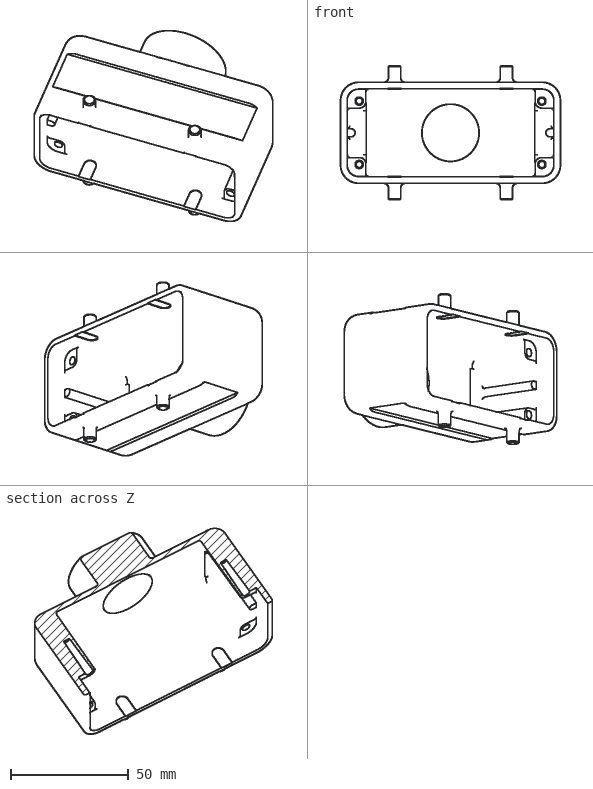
import cadquery as cq
import math

BODY_X = 93.5
BODY_Y = 45.0
BODY_Z = 43.0
CORNER_RADIUS = 7.9
BACK_RADIUS = 5.1
MOUTH_ROUND = 0.9

TOTAL_Y = 61.0
NECK_DIAMETER = 37.4
NECK_ROOT_RADIUS = 0.8
NECK_END_RADIUS = 1.1
BORE_DIAMETER = 24.2

WALL_X = 2.8
WALL_Z = 2.9
CAVITY_X = BODY_X - 2 * WALL_X
CAVITY_Z = BODY_Z - 2 * WALL_Z
CAVITY_CORNER = CORNER_RADIUS - WALL_Z
FLOOR_Y = 42.3
DRAFT_ANGLE = 0.4
FLOOR_RADIUS = 1.2
INNER_CORNER_RADIUS = 0.9

BOSS_FACE_Y = 9.3
BOSS_GAP_X = 72.0
BOSS_GAP_Z = 21.1
BOSS_EDGE_RADIUS = 2.8
POCKET_FLOOR_Y = 37.4
STEP_EDGE_RADIUS = 1.0
BOSS_HOLE_X = 38.8
BOSS_HOLE_Z = 13.5
BOSS_HOLE_DIAMETER = 3.5
BOSS_HOLE_TAPER = 1.2
BOSS_HOLE_DEPTH = 18.7

RIB_X = 42.2
RIB_RADIUS = 1.7
RIB_ROOT_RADIUS = 1.3

PIN_TOTAL_Z = 57.0
PIN_X = 23.75
PIN_Y = 6.3
PIN_DIAMETER = 5.3
PIN_CHAMFER = 0.6
PIN_ROOT_RADIUS = 1.9

GROOVE_TO_CENTRE = 18.9
GROOVE_CENTRE_Y = 7.0

RECESS_START_Y = 12.7
RECESS_END_Y = 32.3
RECESS_DEPTH = 1.0
RECESS_SLOPE = 0.6

SIDES = (-1, 1)


def prism(outline, start_y, end_y, taper=0.0):
    """Extrude an outline on an XZ plane from start_y to end_y, narrowing by taper."""
    plane = cq.Workplane(cq.Plane((0, start_y, 0), (-1, 0, 0), (0, 1, 0)))
    return plane.placeSketch(outline).extrude(end_y - start_y, taper=taper)


def rod(diameter, start_y, end_y):
    """Cylinder along Y."""
    length = end_y - start_y
    start = cq.Vector(0, start_y, 0)
    return cq.Workplane(cq.Solid.makeCylinder(diameter / 2, length, start, cq.Vector(0, 1, 0)))


def rounded_rectangle(width, height, radius):
    return cq.Sketch().rect(width, height).vertices().fillet(radius)


def make_shell():
    """Rounded block with the neck and its root fillet."""
    block = prism(rounded_rectangle(BODY_X, BODY_Z, CORNER_RADIUS), 0, BODY_Y)
    block = block.faces(">Y").edges().fillet(BACK_RADIUS)
    block = block.faces("<Y").edges().fillet(MOUTH_ROUND)
    neck = rod(NECK_DIAMETER, BODY_Y / 2, TOTAL_Y)
    neck = neck.faces(">Y").edges().fillet(NECK_END_RADIUS)
    joined = block.union(neck)

    neck_radius = NECK_DIAMETER / 2
    root_zone = cq.selectors.BoxSelector(
        (-neck_radius, BODY_Y - NECK_ROOT_RADIUS, -neck_radius),
        (neck_radius, BODY_Y + NECK_ROOT_RADIUS, neck_radius),
    )
    return joined.edges(root_zone).fillet(NECK_ROOT_RADIUS)


def make_cavity():
    """Open mouth, deep middle chamber and the two side pockets."""
    mouth_outline = rounded_rectangle(CAVITY_X, CAVITY_Z, CAVITY_CORNER)
    envelope = prism(mouth_outline, 0, FLOOR_Y, DRAFT_ANGLE)
    mouth = prism(mouth_outline, 0, BOSS_FACE_Y)

    chamber_outline = rounded_rectangle(BOSS_GAP_X, CAVITY_Z, INNER_CORNER_RADIUS)
    chamber = prism(chamber_outline, 0, FLOOR_Y, DRAFT_ANGLE)
    pockets_outline = rounded_rectangle(CAVITY_X, BOSS_GAP_Z, INNER_CORNER_RADIUS)
    pockets = prism(pockets_outline, 0, POCKET_FLOOR_Y, DRAFT_ANGLE)
    cross = prism(chamber_outline, 0, POCKET_FLOOR_Y, DRAFT_ANGLE).union(pockets)

    zone_x = BOSS_GAP_X / 2 + INNER_CORNER_RADIUS
    zone_z = BOSS_GAP_Z / 2 + INNER_CORNER_RADIUS
    boss_edges = cq.selectors.BoxSelector(
        (-zone_x, FLOOR_RADIUS, -zone_z),
        (zone_x, POCKET_FLOOR_Y - FLOOR_RADIUS, zone_z),
    )
    cross = cross.edges(boss_edges).edges("not(|X or |Z)").fillet(BOSS_EDGE_RADIUS)
    cross = cross.faces(">Y").edges().fillet(FLOOR_RADIUS)
    chamber = chamber.faces(">Y").edges().fillet(FLOOR_RADIUS)
    return mouth.union(cross).union(chamber).intersect(envelope)


def make_step_round(side):
    """Cutter rounding the edge where a side pocket floor drops into the chamber."""
    edge_x = BOSS_GAP_X / 2 - POCKET_FLOOR_Y * math.tan(math.radians(DRAFT_ANGLE))
    radius = STEP_EDGE_RADIUS
    blend = radius * (1 - math.sqrt(0.5))
    bottom_y = POCKET_FLOOR_Y + radius
    outline = (
        cq.Workplane("XY")
        .moveTo(edge_x + radius, POCKET_FLOOR_Y)
        .threePointArc((edge_x + blend, POCKET_FLOOR_Y + blend), (edge_x, bottom_y))
        .lineTo(edge_x - radius, bottom_y)
        .lineTo(edge_x - radius, POCKET_FLOOR_Y)
        .close()
    )
    cutter = outline.extrude(BOSS_GAP_Z / 2 - FLOOR_RADIUS, both=True)
    return cutter if side > 0 else cutter.mirror("YZ")


def flared_profile(radius, root_radius, height):
    """Half profile of a post along Z whose foot flares out in a quarter circle."""
    blend = root_radius * (1 - math.sqrt(0.5))
    return (
        cq.Workplane("XZ")
        .moveTo(0, 0)
        .lineTo(radius + root_radius, 0)
        .threePointArc((radius + blend, blend), (radius, root_radius))
        .lineTo(radius, height)
        .lineTo(0, height)
        .close()
    )


def flared_post(radius, root_radius, height):
    return flared_profile(radius, root_radius, height).revolve(360, (0, 0, 0), (0, 1, 0))


def make_rib(side):
    """Round-nosed rib from the pocket floor up to the boss faces, joined to the end wall."""
    shape = (RIB_RADIUS, RIB_ROOT_RADIUS, POCKET_FLOOR_Y - BOSS_FACE_Y)
    to_wall = BODY_X / 2 - WALL_X / 2 - RIB_X
    flank = flared_profile(*shape).extrude(-to_wall)
    rib = flared_post(*shape).union(flank).union(flank.mirror("YZ"))
    rib = rib.rotate((0, 0, 0), (0, 0, 1), -90 * side).rotate((0, 0, 0), (1, 0, 0), 90)
    return rib.translate((side * RIB_X, POCKET_FLOOR_Y, 0))


def make_pin(x, side):
    """Chamfered pin standing on the long side at Z = side * BODY_Z / 2."""
    pin = flared_post(PIN_DIAMETER / 2, PIN_ROOT_RADIUS, (PIN_TOTAL_Z - BODY_Z) / 2)
    pin = pin.faces(">Z").chamfer(PIN_CHAMFER).translate((x, PIN_Y, BODY_Z / 2))
    return pin if side > 0 else pin.mirror("XY")


def make_grooves(x):
    """Round-ended grooves cut into both long cavity walls, open at the mouth."""
    height = 2 * GROOVE_TO_CENTRE
    round_end = cq.Workplane("XY").circle(PIN_DIAMETER / 2).extrude(height / 2, both=True)
    straight = cq.Workplane("XY").box(PIN_DIAMETER, GROOVE_CENTRE_Y, height)
    groove = round_end.union(straight.translate((0, -GROOVE_CENTRE_Y / 2, 0)))
    return groove.translate((x, GROOVE_CENTRE_Y, 0))


def make_recess(side):
    """Flat label recess with sloping long edges, running out over the round corners."""
    surface = side * BODY_Z / 2
    floor = surface - side * RECESS_DEPTH
    points = [
        (RECESS_START_Y, surface),
        (RECESS_START_Y + RECESS_SLOPE, floor),
        (RECESS_END_Y - RECESS_SLOPE, floor),
        (RECESS_END_Y, surface),
    ]
    return cq.Workplane("YZ").polyline(points).close().extrude(BODY_X / 2, both=True)


def make_boss_hole(x, z):
    """Blind hole narrowing towards its bottom."""
    outline = cq.Sketch().circle(BOSS_HOLE_DIAMETER / 2)
    hole = prism(outline, BOSS_FACE_Y, BOSS_FACE_Y + BOSS_HOLE_DEPTH, BOSS_HOLE_TAPER)
    return hole.translate((x, 0, z))


result = make_shell().cut(make_cavity())
result = result.cut(rod(BORE_DIAMETER, 0, TOTAL_Y))

for side in SIDES:
    result = result.cut(make_step_round(side))
    result = result.union(make_rib(side))
    result = result.cut(make_grooves(side * PIN_X))
    result = result.cut(make_recess(side))
    for end in SIDES:
        result = result.cut(make_boss_hole(end * BOSS_HOLE_X, side * BOSS_HOLE_Z))
        result = result.union(make_pin(end * PIN_X, side))